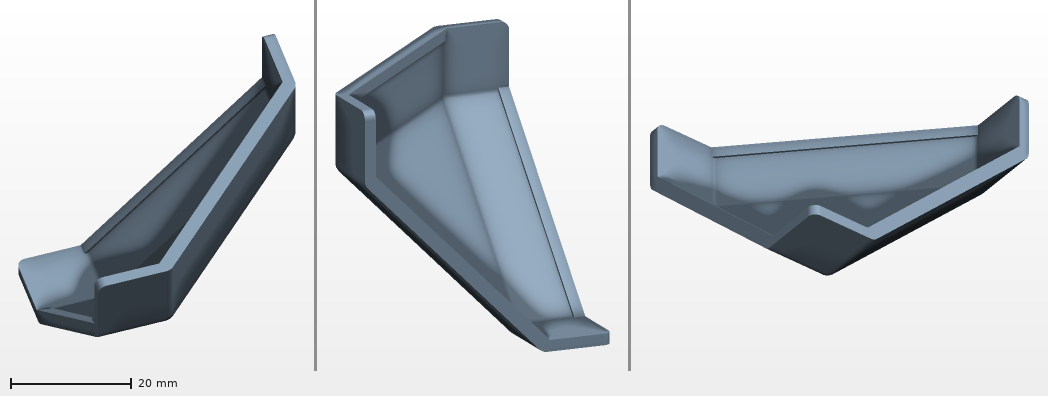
import cadquery as cq
import math


size = 45.0
wall = 2.0
tip_width = 12.7
lip_depth = 2.0
lip_overhang = 0.4
inner_radius = 1.0
outer_radius = 2.0
tip_radius = 1.5

ORIGIN = (0, 0, 0)
DIAGONAL = (1, 1, 1)
THIRD_TURN = 120.0

outer_slope = size + tip_width
inner_slope = outer_slope - wall * math.sqrt(2)
lip_slope = inner_slope - lip_overhang * math.sqrt(2)
outer_floor = size + 2 * tip_width
inner_floor = outer_floor - wall * math.sqrt(3)
inner_size = size - wall


def turned(shape, turns):
    """Turn a shape about the diagonal by a number of third turns."""
    return shape.rotate(ORIGIN, DIAGONAL, turns * THIRD_TURN)


def sloped_block(side, slope):
    """Cube at the origin with three edges cut away by the sloped wall planes."""
    cut_start = slope - side
    prism = (
        cq.Workplane("XY")
        .polyline([(0, 0), (side, 0), (side, cut_start), (cut_start, side), (0, side)])
        .close()
        .extrude(side)
    )
    return prism.intersect(turned(prism, 1)).intersect(turned(prism, 2))


def below_floor(block, floor):
    """Keep the part of a block on the open side of a floor plane."""
    offset = floor / 3
    plane = cq.Plane(origin=(offset, offset, offset), xDir=(1, -1, 0), normal=DIAGONAL)
    beyond = cq.Workplane(plane).circle(2 * size).extrude(size)
    return block.cut(beyond)


def rounded_block(side, slope, floor, radius):
    """Sloped block with a floor, rounded along every edge that is not on one of the open faces."""
    block = below_floor(sloped_block(side, slope), floor)
    closed_edges = [edge for edge in block.edges().vals() if min(edge.Center().toTuple()) > radius]
    return block.newObject(closed_edges).fillet(radius)


def behind_lip():
    """Region deeper than the lip along all three axes."""
    cube = cq.Workplane("XY").box(size, size, size, centered=False)
    return cube.translate((lip_depth, lip_depth, lip_depth))


def main_cavity():
    """Rounded cavity behind the lip."""
    return rounded_block(inner_size, inner_slope, inner_floor, inner_radius).intersect(behind_lip())


def lip_opening():
    """Narrower, sharp-edged opening through the lip along the three open faces."""
    return sloped_block(inner_size, lip_slope).cut(behind_lip())


def tip_corner_cutter():
    """Material outside the rounded free corner of the tip plate that is parallel to XY."""
    corner = cq.Workplane("XY").rect(tip_radius, tip_radius, centered=False).extrude(size)
    disc = cq.Workplane("XY").center(tip_radius, tip_radius).circle(tip_radius).extrude(size)
    return corner.cut(disc)


def make_part():
    body = rounded_block(size, outer_slope, outer_floor, outer_radius)
    body = body.cut(main_cavity()).cut(lip_opening())
    for turns in range(3):
        body = body.cut(turned(tip_corner_cutter(), turns))
    return body.mirror("XY").translate((0, 0, size))


result = make_part()